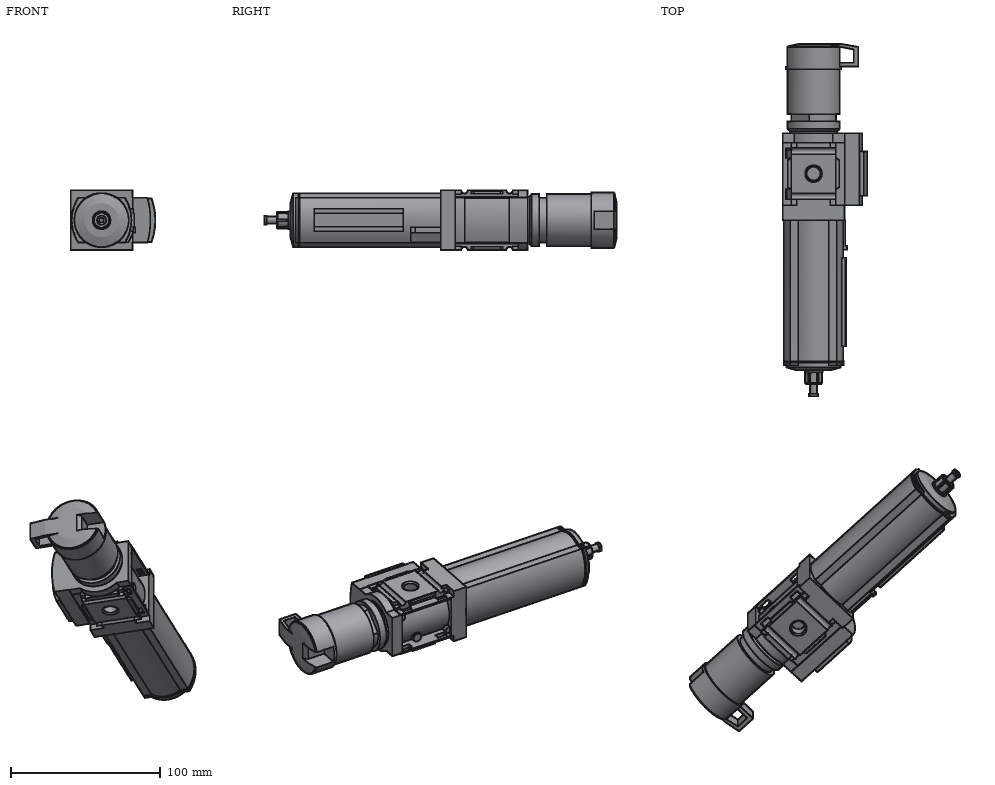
import cadquery as cq


HOUSING_HALF_X = 20.8
HOUSING_HALF_Z = 20.0
HOUSING_BACK_Y = 27.2
HOUSING_FRONT_Y = -31.2
BACK_FLANGE_Y = 20.8
FRONT_FLANGE_Y = -21.2
BACK_FLANGE_HALF_Z = 15.3
MIDDLE_HALF_Z = 15.8

WINDOW_HALF_Y = 19.4
WINDOW_HALF_Z = 14.6
CORE_DIA = 36.4
PIN_FACE_X = -18.7
PINS = [(6.1, -8.7, 6.1), (18.2, 11.0, 5.0), (-19.0, -11.3, 5.0)]

PAD_HALF_X = 14.9
PAD_TONGUE_HALF_X = 11.3
GROOVE_OFFSET_Y = 15.0
GROOVE_RADIUS = 2.1
WING_REACH = 2.4
WING_HALF_Y = 10.6
WING_CHAMFER = 1.7
WING_BOTTOM_Z = 17.7
WING_TOP_Z = 19.4
CORNER_TOP_Z = 17.5
SLIT_OUTER_X = -18.5
SLIT_LENGTH_Y = 6.5
SLIT_OFFSET_Y = 13.7
PORT_DIA = 9.2
PORT_MOUTH_DIA = 11.3
PORT_DEPTH = 9.5

GAUGE_HALF_Z = 15.0
GAUGE_SIDE_X = 30.7
GAUGE_CROWN_X = 32.8
LENS_HALF_Y = 14.9
LENS_HALF_Z = 14.6
LENS_SIDE_X = 33.5
LENS_CROWN_X = 36.1

RING_DIA = 35.2
RING_BACK_Y = 35.0
RING_FRONT_Y = 30.0
COLLAR_DIA = 31.6
RING_CONE_Y = 28.5
NECK_DIA = 30.2
NECK_FLAT_DISTANCE = 12.5

KNOB_FRONT_Y = 40.0
KNOB_DIA = 35.2
SLEEVE_DIA = 37.3
SLEEVE_FRONT_Y = 70.0
SLEEVE_BACK_Y = 84.8
SLEEVE_CHAMFER = 0.7
KNOB_END_Y = 87.0
KNOB_END_DIA = 23.5
SLOT_WIDTH = 12.0
SLOT_FLOOR_Y = 71.8
SLOT_END_X = -6.0
HASP_TIP_X = 30.0
HASP_TIP_Y = 85.0
HASP_BEND_X = 19.0
HASP_WALL = 3.0
HASP_BAR = 2.5
HASP_TOP_BAR = 2.0
HASP_CHAMFER = 2.5
EYE_INNER_X = 17.5

BOWL_DIA = 36.4
BOWL_HALF_X = 20.0
BOWL_FLAT_HALF_X = 15.5
BOWL_FLAT_HALF_Z = 15.0
BOWL_SIDES_END_Y = -128.2
BOWL_RIM_Y = -129.9
BOWL_FACE_Y = -131.7
BOWL_FACE_DIA = 23.0
BOWL_GROOVE_Y = -126.0
BOWL_GROOVE_WIDTH = 1.0
BOWL_GROOVE_DEPTH = 0.5

BAR_BACK_Y = -56.2
BAR_FRONT_Y = -115.7
BAR_LAYERS = [(21.2, 7.5), (22.0, 4.5)]
SIDE_ROOT_X = 16.5
LATCH_X = 21.2
LATCH_FRONT_Y = -51.0
LATCH_TOP_Z = -4.7
LATCH_EDGE_Z = -8.3
LATCH_BOTTOM_X = 18.0
LATCH_BOTTOM_Z = -14.9
BUMP_X = 22.5
BUMP_LENGTH = 2.8

DRAIN_FLANGE_DIA = 12.0
DRAIN_FLANGE_Y = -133.2
DRAIN_DIA = 11.5
DRAIN_FRONT_Y = -141.0
DRAIN_CHAMFER = 0.7
DRAIN_SLOTS = 6
DRAIN_SLOT_WIDTH = 1.5
DRAIN_SLOT_DEPTH = 1.0
DRAIN_SLOT_BACK_Y = -134.0
STEM_DIA = 5.0
BARB_DIA = 6.1
BARB_BACK_Y = -147.5
STEM_BORE_DIA = 3.0
STEM_BORE_DEPTH = 7.0
OVERALL_LENGTH = 236
DRAIN_TIP_Y = KNOB_END_Y - OVERALL_LENGTH


def box(x0, x1, y0, y1, z0, z1):
    """Box between two opposite corners."""
    size = (x1 - x0, y1 - y0, z1 - z0)
    return cq.Workplane("XY").box(*size, centered=False).translate((x0, y0, z0))


def rod(diameter, y0, y1):
    """Round bar on the Y axis."""
    return cq.Workplane("XZ", origin=(0, y1, 0)).circle(diameter / 2).extrude(y1 - y0)


def turned(points):
    """Body of revolution about the Y axis from (diameter, y) corners."""
    first_y = points[0][1]
    last_y = points[-1][1]
    outline = [(0, first_y)] + [(d / 2, y) for d, y in points] + [(0, last_y)]
    return cq.Workplane("XY").polyline(outline).close().revolve(360, (0, 0), (0, 1))


def crowned_block(side_x, crown_x, half_z, y0, y1):
    """Block on the +X side of the housing whose outer face is an arc."""
    return (
        cq.Workplane("XZ", origin=(0, y1, 0))
        .moveTo(HOUSING_HALF_X, -half_z)
        .lineTo(side_x, -half_z)
        .threePointArc((crown_x, 0), (side_x, half_z))
        .lineTo(HOUSING_HALF_X, half_z)
        .close()
        .extrude(y1 - y0)
    )



def make_pad():
    """Port pad on the +Z side, with its overhanging wings, corner steps and cross grooves."""
    base_z = MIDDLE_HALF_Z
    top_z = HOUSING_HALF_Z
    land_half_y = GROOVE_OFFSET_Y + GROOVE_RADIUS
    pad = box(-PAD_HALF_X, PAD_HALF_X, -land_half_y, land_half_y, base_z, top_z)
    tongue = box(-PAD_TONGUE_HALF_X, PAD_TONGUE_HALF_X, FRONT_FLANGE_Y, BACK_FLANGE_Y, base_z, top_z)
    corners = box(-PAD_HALF_X, PAD_HALF_X, FRONT_FLANGE_Y, BACK_FLANGE_Y, base_z, CORNER_TOP_Z)
    wing_x = PAD_HALF_X + WING_REACH
    wing_y = WING_HALF_Y - WING_CHAMFER
    wings = (
        cq.Workplane("XY", origin=(0, 0, WING_BOTTOM_Z))
        .polyline([
            (-PAD_HALF_X, -WING_HALF_Y), (-wing_x, -wing_y), (-wing_x, wing_y), (-PAD_HALF_X, WING_HALF_Y),
            (PAD_HALF_X, WING_HALF_Y), (wing_x, wing_y), (wing_x, -wing_y), (PAD_HALF_X, -WING_HALF_Y),
        ])
        .close()
        .extrude(WING_TOP_Z - WING_BOTTOM_Z)
    )
    pad = pad.union(tongue).union(corners).union(wings)
    for side in (-1, 1):
        groove = (
            cq.Workplane("YZ", origin=(-HOUSING_HALF_X, 0, 0))
            .center(side * GROOVE_OFFSET_Y, top_z)
            .circle(GROOVE_RADIUS)
            .extrude(2 * HOUSING_HALF_X)
        )
        pad = pad.cut(groove)
    return pad


def make_port():
    """Cutter for the port in the +Z pad: a blind hole with a chamfered mouth."""
    mouth = (PORT_MOUTH_DIA - PORT_DIA) / 2
    top = cq.Workplane("XY", origin=(0, 0, HOUSING_HALF_Z - PORT_DEPTH))
    hole = top.circle(PORT_DIA / 2).extrude(PORT_DEPTH)
    cone = (
        cq.Workplane("XY", origin=(0, 0, HOUSING_HALF_Z - mouth))
        .circle(PORT_DIA / 2)
        .workplane(offset=mouth)
        .circle(PORT_MOUTH_DIA / 2)
        .loft()
    )
    return hole.union(cone)


def make_window():
    """Cutter for the -X window, which leaves the round core and three pins standing."""
    opening = box(-HOUSING_HALF_X, 0, -WINDOW_HALF_Y, WINDOW_HALF_Y, -WINDOW_HALF_Z, WINDOW_HALF_Z)
    opening = opening.cut(rod(CORE_DIA, -WINDOW_HALF_Y, WINDOW_HALF_Y))
    for y, z, diameter in PINS:
        pin = cq.Workplane("YZ", origin=(PIN_FACE_X, y, z)).circle(diameter / 2).extrude(-PIN_FACE_X)
        opening = opening.cut(pin)
    return opening


def make_slits():
    """Cutters for the slits beside the pads, through the thin walls above and below the window."""
    return [
        box(
            SLIT_OUTER_X, -PAD_HALF_X,
            y - SLIT_LENGTH_Y / 2, y + SLIT_LENGTH_Y / 2,
            min(z, wall_z), max(z, wall_z),
        )
        for y in (-SLIT_OFFSET_Y, SLIT_OFFSET_Y)
        for z, wall_z in ((WINDOW_HALF_Z, MIDDLE_HALF_Z), (-WINDOW_HALF_Z, -MIDDLE_HALF_Z))
    ]


def make_neck():
    """Collar, ring nut and neck, the neck with one flat facing up and to -X."""
    neck = rod(NECK_DIA, RING_BACK_Y, KNOB_FRONT_Y)
    beyond_flat = box(
        -NECK_DIA, NECK_DIA, RING_BACK_Y, KNOB_FRONT_Y, NECK_FLAT_DISTANCE, NECK_DIA
    ).rotate((0, 0, 0), (0, 1, 0), -45)
    ring = turned([
        (COLLAR_DIA, HOUSING_BACK_Y), (COLLAR_DIA, RING_CONE_Y),
        (RING_DIA, RING_FRONT_Y), (RING_DIA, RING_BACK_Y),
    ])
    return ring.union(neck.cut(beyond_flat))


def make_housing():
    half_x = HOUSING_HALF_X
    half_z = HOUSING_HALF_Z
    front_flange = box(-half_x, half_x, HOUSING_FRONT_Y, FRONT_FLANGE_Y, -half_z, half_z)
    middle = box(-half_x, half_x, FRONT_FLANGE_Y, BACK_FLANGE_Y, -MIDDLE_HALF_Z, MIDDLE_HALF_Z)
    back_flange = box(
        -half_x, half_x, BACK_FLANGE_Y, HOUSING_BACK_Y, -BACK_FLANGE_HALF_Z, BACK_FLANGE_HALF_Z
    )
    back_barrel = rod(2 * half_z, BACK_FLANGE_Y, HOUSING_BACK_Y)
    pad = make_pad()
    port = make_port()
    gauge = crowned_block(GAUGE_SIDE_X, GAUGE_CROWN_X, GAUGE_HALF_Z, FRONT_FLANGE_Y, HOUSING_BACK_Y)
    lens = crowned_block(LENS_SIDE_X, LENS_CROWN_X, LENS_HALF_Z, -LENS_HALF_Y, LENS_HALF_Y)
    housing = (
        front_flange.union(middle).union(back_flange).union(back_barrel)
        .union(pad).union(pad.mirror("XY"))
        .cut(make_window())
        .cut(port).cut(port.mirror("XY"))
        .union(gauge).union(lens)
        .union(make_neck())
    )
    for slit in make_slits():
        housing = housing.cut(slit)
    return housing



def make_hasp():
    """Padlock eye that lies in the knob slot and sticks out on +X."""
    start = cq.Workplane("XY", origin=(0, 0, -SLOT_WIDTH / 2))
    outline = [
        (SLOT_END_X, SLOT_FLOOR_Y), (HASP_TIP_X, SLOT_FLOOR_Y), (HASP_TIP_X, HASP_TIP_Y),
        (HASP_BEND_X, KNOB_END_Y), (SLOT_END_X + HASP_CHAMFER, KNOB_END_Y),
        (SLOT_END_X, KNOB_END_Y - HASP_CHAMFER),
    ]
    eye = [
        (EYE_INNER_X, SLOT_FLOOR_Y + HASP_BAR),
        (HASP_TIP_X - HASP_WALL, SLOT_FLOOR_Y + HASP_BAR),
        (HASP_TIP_X - HASP_WALL, HASP_TIP_Y - HASP_TOP_BAR),
        (EYE_INNER_X, KNOB_END_Y - HASP_TOP_BAR),
    ]
    return (
        start.polyline(outline).close().extrude(SLOT_WIDTH)
        .cut(start.polyline(eye).close().extrude(SLOT_WIDTH))
    )


def make_knob():
    grip = turned([
        (KNOB_DIA, KNOB_FRONT_Y), (KNOB_DIA, SLEEVE_FRONT_Y), (SLEEVE_DIA, SLEEVE_FRONT_Y),
        (SLEEVE_DIA, SLEEVE_BACK_Y),
        (SLEEVE_DIA - 2 * SLEEVE_CHAMFER, SLEEVE_BACK_Y + SLEEVE_CHAMFER), (KNOB_END_DIA, KNOB_END_Y),
    ])
    slot = box(-SLEEVE_DIA, SLEEVE_DIA, SLOT_FLOOR_Y, KNOB_END_Y, -SLOT_WIDTH / 2, SLOT_WIDTH / 2)
    return grip.cut(slot).union(make_hasp())



def bowl_section(y0, y1, inset=0.0):
    """Length of the bowl: a round barrel merged with a wider body that has flats and arched sides."""
    flat_x = BOWL_FLAT_HALF_X - inset
    flat_z = BOWL_FLAT_HALF_Z - inset
    side_x = BOWL_HALF_X - inset
    wide = (
        cq.Workplane("XZ", origin=(0, y1, 0))
        .moveTo(-flat_x, -flat_z)
        .threePointArc((-side_x, 0), (-flat_x, flat_z))
        .lineTo(flat_x, flat_z)
        .threePointArc((side_x, 0), (flat_x, -flat_z))
        .close()
        .extrude(y1 - y0)
    )
    return wide.union(rod(BOWL_DIA - 2 * inset, y0, y1))


def make_latch():
    """Bowl latch on the lower +X side, with a thumb bump at its front end."""
    length = HOUSING_FRONT_Y - LATCH_FRONT_Y
    latch = (
        cq.Workplane("XZ", origin=(0, HOUSING_FRONT_Y, 0))
        .polyline([
            (SIDE_ROOT_X, LATCH_TOP_Z), (LATCH_X, LATCH_TOP_Z), (LATCH_X, LATCH_EDGE_Z),
            (LATCH_BOTTOM_X, LATCH_BOTTOM_Z), (BOWL_FLAT_HALF_X, LATCH_BOTTOM_Z),
        ])
        .close()
        .extrude(length)
    )
    bump = box(
        SIDE_ROOT_X, BUMP_X, LATCH_FRONT_Y, LATCH_FRONT_Y + BUMP_LENGTH, LATCH_EDGE_Z, LATCH_TOP_Z
    )
    return latch.union(bump)


def make_drain():
    """Drain valve: flange, slotted grip and barbed hose stem with a bore."""
    drain = turned([
        (DRAIN_FLANGE_DIA, BOWL_FACE_Y), (DRAIN_FLANGE_DIA, DRAIN_FLANGE_Y),
        (DRAIN_DIA, DRAIN_FLANGE_Y), (DRAIN_DIA, DRAIN_FRONT_Y + DRAIN_CHAMFER),
        (DRAIN_DIA - 2 * DRAIN_CHAMFER, DRAIN_FRONT_Y), (STEM_DIA, DRAIN_FRONT_Y),
        (STEM_DIA, BARB_BACK_Y), (BARB_DIA, BARB_BACK_Y), (BARB_DIA, DRAIN_TIP_Y),
    ])
    outer = DRAIN_DIA / 2
    for i in range(DRAIN_SLOTS):
        slot = box(
            outer - DRAIN_SLOT_DEPTH, DRAIN_FLANGE_DIA, DRAIN_FRONT_Y, DRAIN_SLOT_BACK_Y,
            -DRAIN_SLOT_WIDTH / 2, DRAIN_SLOT_WIDTH / 2,
        )
        drain = drain.cut(slot.rotate((0, 0, 0), (0, 1, 0), i * 360 / DRAIN_SLOTS))
    return drain.cut(rod(STEM_BORE_DIA, DRAIN_TIP_Y, DRAIN_TIP_Y + STEM_BORE_DEPTH))


def make_bowl():
    groove_y0 = BOWL_GROOVE_Y - BOWL_GROOVE_WIDTH / 2
    groove_y1 = BOWL_GROOVE_Y + BOWL_GROOVE_WIDTH / 2
    groove = bowl_section(groove_y0, groove_y1).cut(bowl_section(groove_y0, groove_y1, BOWL_GROOVE_DEPTH))
    end = turned([(BOWL_DIA, BOWL_SIDES_END_Y), (BOWL_DIA, BOWL_RIM_Y), (BOWL_FACE_DIA, BOWL_FACE_Y)])
    bowl = bowl_section(BOWL_SIDES_END_Y, HOUSING_FRONT_Y).cut(groove).union(end)
    for outer_x, half_z in BAR_LAYERS:
        bowl = bowl.union(box(SIDE_ROOT_X, outer_x, BAR_FRONT_Y, BAR_BACK_Y, -half_z, half_z))
    return bowl.union(make_latch()).union(make_drain())


housing = make_housing()
knob = make_knob()
bowl = make_bowl()
result = cq.Compound.makeCompound([housing.val(), knob.val(), bowl.val()])